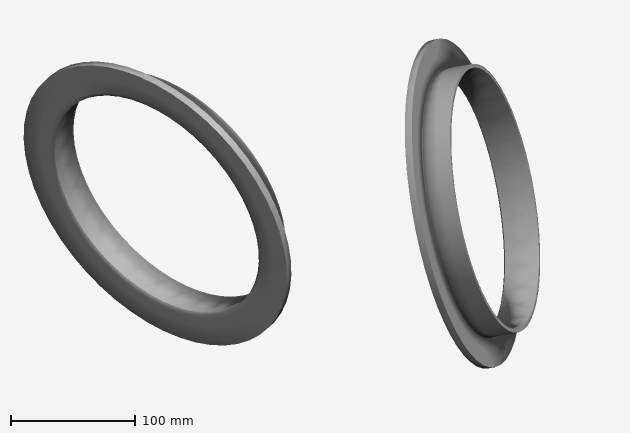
import cadquery as cq
import math

flange_diameter = 268.0
neck_diameter = 219.1
throat_diameter = 207.9
neck_end_wall = 3.0
total_length = 30.0
flange_thickness = 6.0
root_radius = 1.0
mouth_radius = 6.0
mouth_depth = 2.0

flange_radius = flange_diameter / 2
neck_radius = neck_diameter / 2
throat_radius = throat_diameter / 2
bore_end_radius = neck_radius - neck_end_wall

mouth_sweep = math.acos(1 - mouth_depth / mouth_radius)
mouth_center_radius = throat_radius + mouth_radius * math.sin(mouth_sweep)


def mouth_point(angle):
    """Point (radius, y) on the mouth rounding, turned by angle from the flange face."""
    radius = mouth_center_radius - mouth_radius * math.sin(angle)
    y = mouth_radius * (1 - math.cos(angle))
    return radius, y


def collar():
    """Flange with its face on Y = 0 and the neck rising toward +Y, revolved about Y."""
    profile = (
        cq.Workplane("ZY")
        .moveTo(*mouth_point(0))
        .lineTo(flange_radius, 0)
        .lineTo(flange_radius, flange_thickness)
        .lineTo(neck_radius + root_radius, flange_thickness)
        .radiusArc((neck_radius, flange_thickness + root_radius), root_radius)
        .lineTo(neck_radius, total_length)
        .lineTo(bore_end_radius, total_length)
        .lineTo(*mouth_point(mouth_sweep))
        .threePointArc(mouth_point(mouth_sweep / 2), mouth_point(0))
        .close()
    )
    return profile.revolve(360, (0, 0, 0), (0, 1, 0))


result = collar()